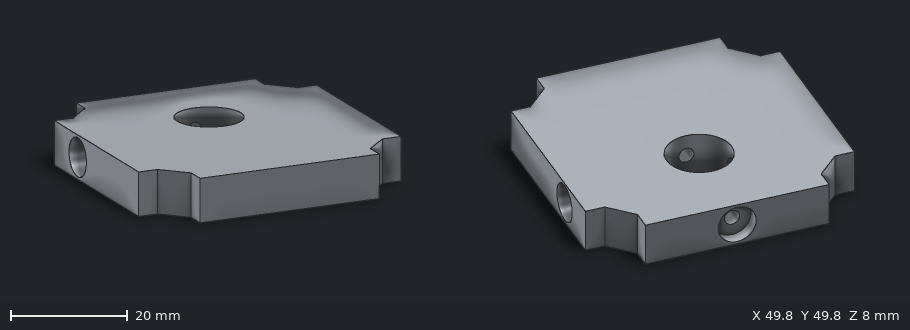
import cadquery as cq

PLATE_SIDE = 49.8
PLATE_THICKNESS = 8.0
CORNER_NOTCH = 7.9
NOTCH_STEP = 3.6
HALF_SIDE = PLATE_SIDE / 2
HALF_THICKNESS = PLATE_THICKNESS / 2

MAIN_BORE_DIAMETER = 12.0
MAIN_BORE_X = -7.5
MAIN_BORE_Y = 0.0

PASSAGE_DIAMETER = 2.8
PASSAGE_REACH = 15.0
PORT_DIAMETER = 7.0


def plate():
    """Square plate with a notch, closed by a 45 degree flank, at each corner."""
    body = cq.Workplane("XY").box(PLATE_SIDE, PLATE_SIDE, PLATE_THICKNESS)
    inner = HALF_SIDE - CORNER_NOTCH
    step = HALF_SIDE - NOTCH_STEP
    notch = (
        cq.Workplane("XY", origin=(0, 0, -HALF_THICKNESS))
        .moveTo(HALF_SIDE, HALF_SIDE)
        .lineTo(inner, HALF_SIDE)
        .lineTo(inner, step)
        .lineTo(step, inner)
        .lineTo(HALF_SIDE, inner)
        .close()
        .extrude(PLATE_THICKNESS)
    )
    for corner in range(4):
        body = body.cut(notch.rotate((0, 0, 0), (0, 0, 1), 90 * corner))
    return body


def drill(start, direction, diameter, depth):
    """Cylinder that removes a hole from start along direction."""
    return cq.Workplane(
        cq.Solid.makeCylinder(diameter / 2, depth, cq.Vector(*start), cq.Vector(*direction))
    )


def main_bore():
    start = (MAIN_BORE_X, MAIN_BORE_Y, -HALF_THICKNESS)
    return drill(start, (0, 0, 1), MAIN_BORE_DIAMETER, PLATE_THICKNESS)


def passage(direction):
    """Narrow hole from the main bore axis outward."""
    return drill((MAIN_BORE_X, MAIN_BORE_Y, 0), direction, PASSAGE_DIAMETER, PASSAGE_REACH)


def port(direction):
    """Wide hole from the end of a passage out through the side of the plate."""
    direction_x, direction_y, _ = direction
    start_x = MAIN_BORE_X + PASSAGE_REACH * direction_x
    start_y = MAIN_BORE_Y + PASSAGE_REACH * direction_y
    depth = HALF_SIDE - start_x * direction_x - start_y * direction_y
    return drill((start_x, start_y, 0), direction, PORT_DIAMETER, depth)


LEFT = (-1, 0, 0)
RIGHT = (1, 0, 0)
FRONT = (0, -1, 0)
BACK = (0, 1, 0)

result = plate().cut(main_bore())
for side in (LEFT, RIGHT, FRONT, BACK):
    result = result.cut(passage(side))

for side in (LEFT, FRONT, BACK):
    result = result.cut(port(side))